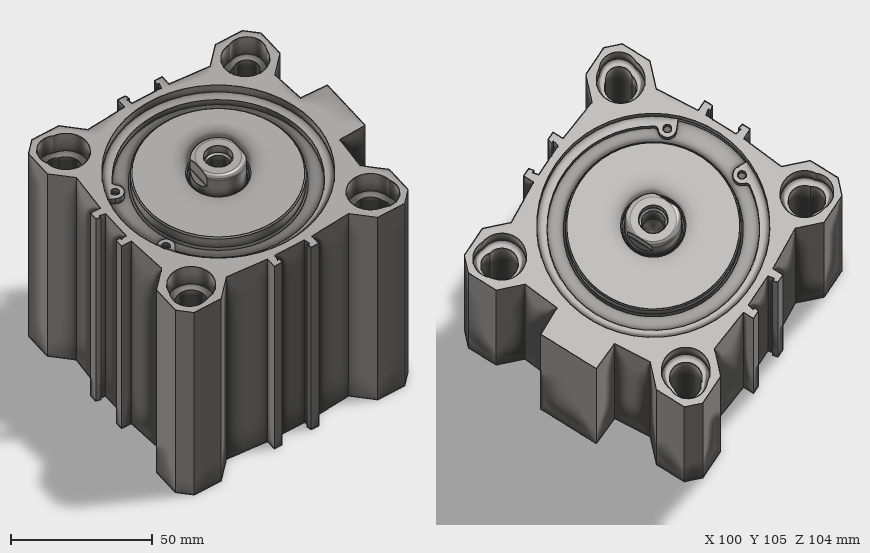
import cadquery as cq
import math

side = 100.0
full_depth = 105.0
height = 96.0
half = side / 2
overlap = 1.0

lug_chamfer = 4.7
lug_reach = 33.6
valley_pos = 26.2
valley_depth = half - (lug_reach - valley_pos)
face_pos = 44.0
crown_reach = 9.6

rail_height = 4.2
rail_outer = crown_reach
rail_lip_tip = 6.3
rail_lip_root = 5.9
rail_web_tip = 6.8
rail_web_base = 6.3
lip_thickness = 1.9
rail_angles = (90, 180, 270)

port_front = full_depth - half
port_half_front = 11.7
port_half_base = 12.1

bolt_pos = 38.5
bolt_dia = 11.4
bolt_lobe_dia = 9.5
bolt_lobe_shift = 2.0
seat_dia = 17.2
seat_lobe_dia = 13.9
seat_lobe_shift = 2.4
seat_depth = 9.1

bore_dia = 82.1
ring_dia = 85.6
ring_inner_dia = 74.9
ring_top = height - 3.7
ring_thickness = 2.6
ring_bottom = ring_top - ring_thickness
ear_x = 15.6
ear_y = -33.4
ear_dia = 6.5
ear_hole_dia = 3.0
ear_blend = 1.6

collar_length = 21.0
collar_bottom = ring_bottom - collar_length
boss_dia = 62.0
boss_top = height - 0.6
boss_chamfer = 0.5
boss_foot = 0.7
rod_hole_dia = 20.6
rod_relief_dia = 21.9
rod_relief_depth = 2.1
rod_relief_chamfer = 0.5

rod_dia = 20.0
rod_top = 104.0
rod_round = 1.8
flat_width = 17.0
flat_length = 5.7
socket_dia = 10.3
socket_depth = 3.6
socket_cone = 0.5
thread_dia = 8.4
thread_depth = 14.7
drill_cone = 2.4


def cylinder(dia, bottom, top):
    return cq.Workplane("XY").workplane(offset=bottom).circle(dia / 2).extrude(top - bottom)


def make_profile():
    corner = [
        (crown_reach, face_pos),
        (valley_pos, valley_depth),
        (lug_reach, half),
        (half - lug_chamfer, half),
        (half, half - lug_chamfer),
        (half, lug_reach),
        (valley_depth, valley_pos),
        (face_pos, crown_reach),
    ]
    points = []
    for turn in range(4):
        for x, y in corner:
            for _ in range(turn):
                x, y = y, -x
            points.append((x, y))
    return cq.Workplane("XY").polyline(points).close().extrude(height)


def make_rail_pair():
    tip = face_pos + rail_height
    section = [
        (rail_outer, tip),
        (rail_lip_tip, tip),
        (rail_lip_root, tip - lip_thickness),
        (rail_web_tip, tip - lip_thickness),
        (rail_web_base, face_pos),
        (rail_web_base, face_pos - overlap),
        (rail_outer, face_pos - overlap),
    ]
    rail = cq.Workplane("XY").polyline(section).close().extrude(height)
    return rail.union(rail.mirror("YZ"))


def make_port_block():
    points = [
        (-port_half_base, face_pos - overlap),
        (-port_half_base, face_pos),
        (-port_half_front, port_front),
        (port_half_front, port_front),
        (port_half_base, face_pos),
        (port_half_base, face_pos - overlap),
    ]
    return cq.Workplane("XY").polyline(points).close().extrude(height)


def lobed_hole(sx, sy, dia, lobe_dia, lobe_shift, bottom):
    hole = cylinder(dia, bottom, height).translate((sx * bolt_pos, sy * bolt_pos, 0))
    lobe_pos = bolt_pos + lobe_shift
    lobe = cylinder(lobe_dia, bottom, height).translate((sx * lobe_pos, sy * lobe_pos, 0))
    return hole.union(lobe)


def make_housing():
    body = make_profile().union(make_port_block())
    for angle in rail_angles:
        body = body.union(make_rail_pair().rotate((0, 0, 0), (0, 0, 1), angle))
    seat_floor = height - seat_depth
    for sx in (-1, 1):
        for sy in (-1, 1):
            body = body.cut(lobed_hole(sx, sy, bolt_dia, bolt_lobe_dia, bolt_lobe_shift, 0))
            body = body.cut(lobed_hole(sx, sy, seat_dia, seat_lobe_dia, seat_lobe_shift, seat_floor))
    body = body.cut(cylinder(bore_dia, collar_bottom, height))
    return body.cut(cylinder(ring_dia, ring_bottom, ring_top))


def make_ring():
    ring = cylinder(ring_dia, ring_bottom, ring_top).cut(cylinder(ring_inner_dia, ring_bottom, ring_top))
    ears = cq.Workplane("XY").workplane(offset=ring_bottom).pushPoints([(-ear_x, ear_y), (ear_x, ear_y)])
    ring = ring.union(ears.circle(ear_dia / 2).extrude(ring_thickness))
    ear_angle = math.atan2(ear_y, ear_x)
    touch_x = ear_x + ear_dia / 2 * math.sin(ear_angle)
    touch_y = ear_y - ear_dia / 2 * math.cos(ear_angle)
    end_x = touch_x + ring_dia / 4 * math.cos(ear_angle)
    end_y = touch_y + ring_dia / 4 * math.sin(ear_angle)
    outline = [(-touch_x, touch_y), (-end_x, end_y), (end_x, end_y), (touch_x, touch_y)]
    gap = cq.Workplane("XY").workplane(offset=ring_bottom).polyline(outline).close().extrude(ring_thickness)
    ring = ring.cut(gap)
    inner_radius = ring_inner_dia / 2
    ear_distance = math.hypot(ear_x, ear_y)
    ear_radius = ear_dia / 2
    sides_sum = inner_radius**2 + ear_distance**2 - ear_radius**2
    corner_cosine = sides_sum / (2 * inner_radius * ear_distance)
    corner_angle = ear_angle + math.acos(corner_cosine)
    corner_x = inner_radius * math.cos(corner_angle)
    corner_y = inner_radius * math.sin(corner_angle)
    for side_sign in (-1, 1):
        corner = (side_sign * corner_x, corner_y, ring_bottom + ring_thickness / 2)
        ring = ring.edges(cq.NearestToPointSelector(corner)).fillet(ear_blend)
    return ring.cut(ears.circle(ear_hole_dia / 2).extrude(ring_thickness))


def make_collar():
    boss_radius = boss_dia / 2
    relief_radius = rod_relief_dia / 2
    relief_floor = boss_top - rod_relief_depth
    section = [
        (rod_hole_dia / 2, collar_bottom),
        (bore_dia / 2, collar_bottom),
        (bore_dia / 2, ring_bottom),
        (boss_radius + boss_foot, ring_bottom),
        (boss_radius, ring_bottom + boss_foot),
        (boss_radius, boss_top - boss_chamfer),
        (boss_radius - boss_chamfer, boss_top),
        (relief_radius + rod_relief_chamfer, boss_top),
        (relief_radius, boss_top - rod_relief_chamfer),
        (relief_radius, relief_floor),
        (rod_hole_dia / 2, relief_floor),
    ]
    return cq.Workplane("XZ").polyline(section).close().revolve(360, (0, 0), (0, 1))


def make_flat_cutter():
    flat_half = flat_width / 2
    flat_floor = rod_top - flat_length
    section = [
        (flat_half, rod_top),
        (flat_half, flat_floor),
        (rod_dia, flat_floor - (rod_dia - flat_half)),
        (rod_dia, rod_top),
    ]
    return cq.Workplane("YZ").polyline(section).close().extrude(rod_dia / 2, both=True)


def make_rod():
    rod = cylinder(rod_dia, collar_bottom, rod_top).faces(">Z").edges().fillet(rod_round)
    flat = make_flat_cutter()
    rod = rod.cut(flat).cut(flat.mirror("XZ"))
    socket_floor = rod_top - socket_depth
    thread_floor = rod_top - thread_depth
    socket = [
        (0, rod_top),
        (socket_dia / 2, rod_top),
        (socket_dia / 2, socket_floor),
        (thread_dia / 2, socket_floor - socket_cone),
        (thread_dia / 2, thread_floor),
        (0, thread_floor - drill_cone),
    ]
    return rod.cut(cq.Workplane("XZ").polyline(socket).close().revolve(360, (0, 0), (0, 1)))


housing = make_housing()
ring = make_ring()
collar = make_collar()
rod = make_rod()

result = cq.Compound.makeCompound([housing.val(), ring.val(), collar.val(), rod.val()])